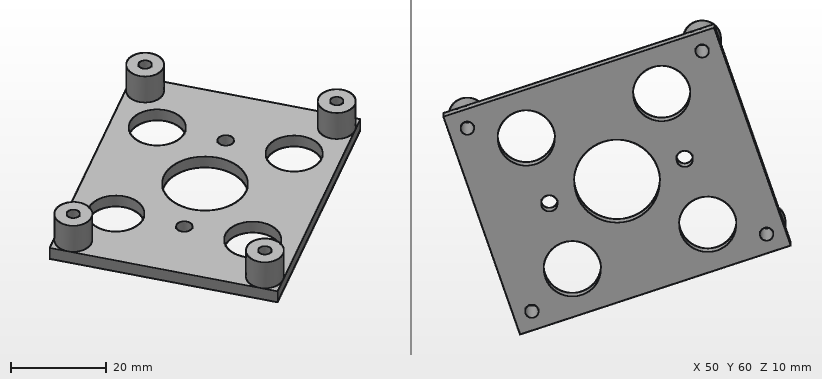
import cadquery as cq

plate_width = 50.0
plate_length = 60
plate_thickness = 3
total_height = 10.0

standoff_diameter = 8.0
standoff_hole_diameter = 2.8
standoff_x_spacing = plate_width - standoff_diameter
standoff_y_spacing = plate_length - standoff_diameter

center_hole_diameter = 18
large_hole_diameter = 12
small_hole_diameter = 3.5
hole_spacing = 30


def cylinders(diameter, height, x_spacing, y_spacing, x_count=2):
    """Vertical cylinders on a centred grid of two rows, starting at the plate underside."""
    return (
        cq.Workplane("XY")
        .rarray(x_spacing, y_spacing, x_count, 2)
        .circle(diameter / 2)
        .extrude(height)
    )


plate = cq.Workplane("XY").box(
    plate_width, plate_length, plate_thickness, centered=(True, True, False)
)
standoffs = cylinders(standoff_diameter, total_height, standoff_x_spacing, standoff_y_spacing)
standoff_holes = cylinders(
    standoff_hole_diameter, total_height, standoff_x_spacing, standoff_y_spacing
)

center_hole = cq.Workplane("XY").circle(center_hole_diameter / 2).extrude(plate_thickness)
large_holes = cylinders(large_hole_diameter, plate_thickness, hole_spacing, hole_spacing)
small_holes = cylinders(
    small_hole_diameter, plate_thickness, hole_spacing, hole_spacing, x_count=1
)

result = (
    plate.union(standoffs)
    .cut(standoff_holes)
    .cut(center_hole)
    .cut(large_holes)
    .cut(small_holes)
)